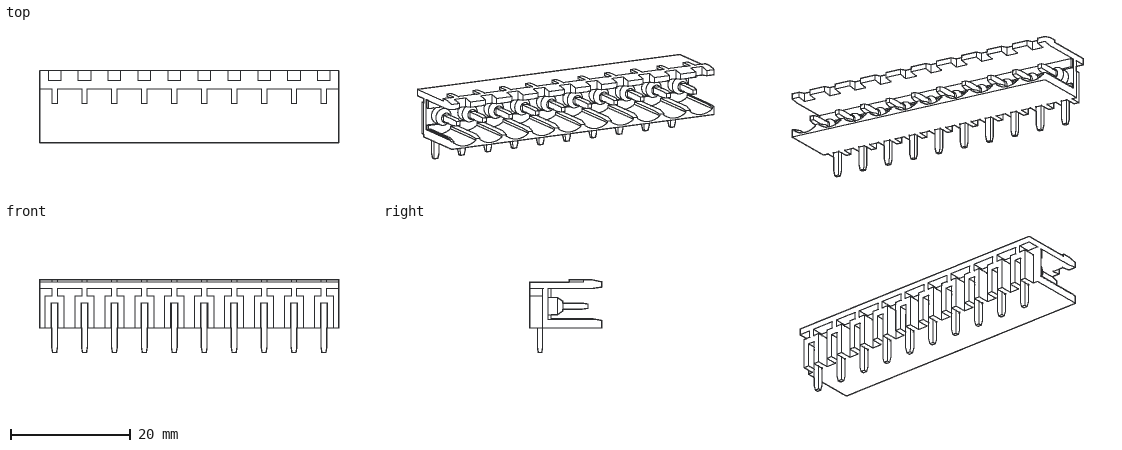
import cadquery as cq


pin_count = 10
pitch = 5.0
length = pin_count * pitch
pin_xs = [pitch * (i + 0.5) for i in range(pin_count)]

depth = 12.1
roof_bottom = 6.6
roof_top = 7.7
floor_top = 1.6
wall_rear = 2.18
wall_front = 3.6
corner_radius = 0.12

mouth_y = 10.45
floor_tip_z = 1.3
roof_tip_top = 7.75
roof_tip_bottom = 6.85
strip_top = 8.1
strip_rear = 9.0
finger_rear = 6.6
finger_width = 0.9

relief_length = 0.2
recess_front = 3.1
relief_floor_top = 1.45

notch_width = 2.1

channel_radius = 3.15
channel_tip_radius = 3.35
channel_half_width = 1.9
channel_tip_half_width = 2.1

post_width = 3.2
post_top = 5.4
neck_width = 0.9
slot_width = 1.2

pin_width = 1.0
pin_z_top = 4.2
pin_z_bottom = 3.15
pin_z = (pin_z_top + pin_z_bottom) / 2
leg_rear = 1.3
leg_front = 2.2
pin_front = 9.8
leg_bottom = -4.1
arm_taper = 1.05
leg_taper = 0.9
tip_inset = 0.15
bend_radius = pin_z_top - pin_z_bottom

boss_radius = 1.45
boss_shoulder = 4.65
boss_end = 5.55
boss_end_radius = 0.85


def box(x_range, y_range, z_range):
    """Box spanning the given (low, high) ranges."""
    (x0, x1), (y0, y1), (z0, z1) = x_range, y_range, z_range
    return cq.Workplane("XY").box(x1 - x0, y1 - y0, z1 - z0, centered=False).translate((x0, y0, z0))


def centred(x, width):
    """Range of the given width centred on x."""
    return (x - width / 2, x + width / 2)


def make_shell():
    """Roof, floor and rear wall: one section along the whole length, with its inner reliefs."""
    section = [
        (0, roof_bottom),
        (0, roof_top),
        (strip_rear, roof_top),
        (strip_rear, strip_top),
        (mouth_y, strip_top),
        (depth, roof_tip_top),
        (depth, roof_tip_bottom),
        (mouth_y, roof_bottom),
        (wall_front, roof_bottom),
        (wall_front, floor_top),
        (mouth_y, floor_top),
        (depth, floor_tip_z),
        (depth, 0),
        (wall_rear, 0),
        (wall_rear, roof_bottom),
    ]
    shell = cq.Workplane("YZ").polyline(section).close().extrude(length)
    upright_edges = shell.edges("|Z")
    outer_corners = upright_edges.filter(lambda edge: not recess_front < edge.Center().y < mouth_y)
    shell = outer_corners.fillet(corner_radius)
    boss_band = (pin_z - boss_radius, pin_z + boss_radius)
    shell = shell.cut(box((0, length), (recess_front, wall_front), boss_band))
    for x_range in ((0, relief_length), (length - relief_length, length)):
        shell = shell.cut(box(x_range, (recess_front, depth), (relief_floor_top, roof_bottom)))
    return shell


def make_channel(x):
    """Cutter for one floor channel: a flared round bore trimmed to the channel's plan outline."""
    bore_profile = [
        (0, wall_front),
        (channel_radius, wall_front),
        (channel_radius, mouth_y),
        (channel_tip_radius, depth),
        (0, depth),
    ]
    bore = cq.Workplane("XY").polyline(bore_profile).close().revolve(360, (0, 0), (0, 1))
    plan = [
        (-channel_half_width, wall_front),
        (channel_half_width, wall_front),
        (channel_half_width, mouth_y),
        (channel_tip_half_width, depth),
        (-channel_tip_half_width, depth),
        (-channel_half_width, mouth_y),
    ]
    lower_half = cq.Workplane("XY").polyline(plan).close().extrude(-pin_z)
    return bore.intersect(lower_half).translate((x, 0, pin_z))


def make_post(x):
    """Rear post hung from the roof by a narrow neck, slotted for the pin leg."""
    post = box(centred(x, post_width), (0, wall_rear), (0, post_top))
    neck = box(centred(x, neck_width), (0, wall_rear), (post_top, roof_bottom))
    slot = box(centred(x, slot_width), (0, wall_rear), (0, pin_z_top))
    return post.union(neck).cut(slot)


def make_boss(x):
    """Cylindrical boss with a conical end, coaxial with the pin."""
    profile = [
        (0, wall_rear),
        (boss_radius, wall_rear),
        (boss_radius, boss_shoulder),
        (boss_end_radius, boss_end),
        (0, boss_end),
    ]
    boss = cq.Workplane("XY").polyline(profile).close().revolve(360, (0, 0), (0, 1))
    return boss.translate((x, 0, pin_z))


def make_pin_tip(base, width, height, taper_length):
    """Tapered end grown from a rectangle on the given workplane."""
    return (
        base.rect(width, height)
        .workplane(offset=taper_length)
        .rect(width - 2 * tip_inset, height - 2 * tip_inset)
        .loft(combine=False)
    )


def make_pin(x):
    """Right-angle pin with a rounded outer bend and tapered ends."""
    arm_end = pin_front - arm_taper
    leg_end = leg_bottom + leg_taper
    body = (
        cq.Workplane("YZ", origin=(x - pin_width / 2, 0, 0))
        .moveTo(leg_rear, leg_end)
        .lineTo(leg_rear, pin_z_bottom)
        .radiusArc((leg_rear + bend_radius, pin_z_top), bend_radius)
        .lineTo(arm_end, pin_z_top)
        .lineTo(arm_end, pin_z_bottom)
        .lineTo(leg_front, pin_z_bottom)
        .lineTo(leg_front, leg_end)
        .close()
        .extrude(pin_width)
    )
    leg_y = (leg_rear + leg_front) / 2
    arm_base = cq.Workplane(cq.Plane((x, arm_end, pin_z), (1, 0, 0), (0, 1, 0)))
    leg_base = cq.Workplane(cq.Plane((x, leg_y, leg_end), (1, 0, 0), (0, 0, -1)))
    arm_tip = make_pin_tip(arm_base, pin_width, pin_z_top - pin_z_bottom, arm_taper)
    leg_tip = make_pin_tip(leg_base, pin_width, leg_front - leg_rear, leg_taper)
    return body.union(arm_tip).union(leg_tip)


cutters = []
additions = []
for pin_x in pin_xs:
    notch = box(centred(pin_x, notch_width), (mouth_y, depth), (roof_bottom, strip_top))
    finger = box(centred(pin_x, finger_width), (finger_rear, strip_rear), (roof_top, strip_top))
    cutters += [make_channel(pin_x), notch]
    additions += [finger, make_post(pin_x), make_boss(pin_x).union(make_pin(pin_x))]

housing = make_shell().val().cut(*[cutter.val() for cutter in cutters])
result = cq.Workplane(housing.fuse(*[addition.val() for addition in additions]).clean())